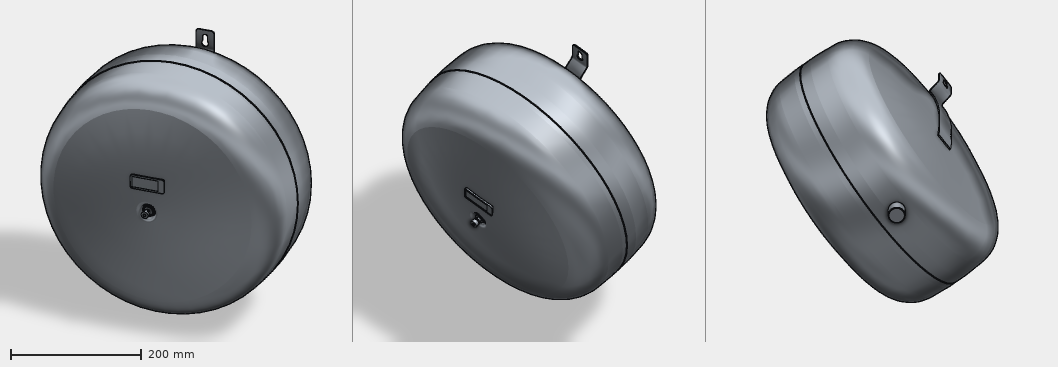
import cadquery as cq
import math

TANK_RADIUS = 204.5
BAND_HALF_WIDTH = 15.5
TAPER_END_RADIUS = 202.5
TAPER_END_DEPTH = 46.5
CORNER_RADIUS = 55.0
DOME_EDGE_RADIUS = 164.0
DOME_EDGE_DEPTH = 96.5
DOME_APEX_DEPTH = 120.0
DOME_RISE = DOME_APEX_DEPTH - DOME_EDGE_DEPTH
DOME_SPHERE_RADIUS = (DOME_EDGE_RADIUS**2 + DOME_RISE**2) / (2 * DOME_RISE)
DOME_CENTRE_DEPTH = DOME_APEX_DEPTH - DOME_SPHERE_RADIUS

SEAM_RADIUS = 407.0 / 2
SEAM_FRONT_Y = -6.5
SEAM_THICKNESS = 1.5
SEAM_REAR_Y = SEAM_FRONT_Y + SEAM_THICKNESS

NIPPLE_RADIUS = 26.3 / 2
NIPPLE_Y = 27.5
NIPPLE_BOTTOM_Z = TANK_RADIUS - 430.5
NIPPLE_LENGTH = 30.0
NIPPLE_CHAMFER = 1.5

BRACKET_WIDTH = 30.0
BRACKET_THICKNESS = 2.0
BRACKET_WALL_Y = 121.0
TAB_TOP_Z = 201.0
TAB_BOTTOM_Z = 166.5
TAB_CORNER_RADIUS = 5.0
LEG_BOTTOM_Z = 151.0
STRAP_BOTTOM_Z = -57.0
BEND_RADIUS = 7.7
KEYHOLE_Z = 178.2
KEYHOLE_RADIUS = 5.5
KEYHOLE_SLOT_WIDTH = 8.0
KEYHOLE_SLOT_RISE = 11.0

PLATE_WIDTH = 56.0
PLATE_HEIGHT = 23.5
PLATE_Z = 48.2
PLATE_FRONT_Y = -119.5
PLATE_DEPTH = 4.5
PLATE_CORNER_RADIUS = 3.5
PANEL_WIDTH = 43.0
PANEL_HEIGHT = 17.5
PANEL_X = -4.0
PANEL_DEPTH = 0.5

PIT_RIM_RADIUS = 17.5
PIT_RADIUS = 11.0
PIT_FLOOR_Y = -107.5
NUT_RADIUS = 10.0
NUT_FRONT_Y = -113.5
NUT_TOOTH_COUNT = 16
NUT_NOTCH_WIDTH = 1.5
NUT_NOTCH_DEPTH = 1.7
STEM_RADIUS = 15.0 / 2
STEM_SHOULDER_Y = -117.0
NECK_RADIUS = 8.0 / 2
CAP_RADIUS = 11.0 / 2
CAP_REAR_Y = -121.5
CAP_FRONT_Y = -130.5
CAP_TIP_RADIUS = 2.0
CAP_TIP_LENGTH = 1.5
CAP_SOCKET_DEPTH = 1.7


def rod(radius, start_y, end_y):
    """Cylinder on the Y axis between two Y positions."""
    length = end_y - start_y
    return cq.Workplane("XZ", origin=(0, start_y, 0)).circle(radius).extrude(-length)


def dome_surface_y(height):
    """Y of the rear dome at a distance from the tank axis."""
    return DOME_CENTRE_DEPTH + math.sqrt(DOME_SPHERE_RADIUS**2 - height**2)


def make_half_shell(seam_y, side):
    """Tank half from the seam to the dome apex; side is +1 for rear, -1 for front."""
    half_edge = DOME_EDGE_RADIUS / 2
    return (
        cq.Workplane("XY")
        .moveTo(0, seam_y)
        .lineTo(TANK_RADIUS, seam_y)
        .lineTo(TANK_RADIUS, side * BAND_HALF_WIDTH)
        .lineTo(TAPER_END_RADIUS, side * TAPER_END_DEPTH)
        .radiusArc((DOME_EDGE_RADIUS, side * DOME_EDGE_DEPTH), -side * CORNER_RADIUS)
        .threePointArc((half_edge, side * dome_surface_y(half_edge)), (0, side * DOME_APEX_DEPTH))
        .close()
        .revolve(360, (0, 0), (0, 1))
    )


def make_valve_pit():
    """Cutter for the pit: a round hole with a flared, rounded mouth."""
    rim_y = -dome_surface_y(PIT_RIM_RADIUS)
    flare = PIT_RIM_RADIUS - PIT_RADIUS
    clear_y = -DOME_APEX_DEPTH - 4.5
    return (
        cq.Workplane("XY")
        .moveTo(0, PIT_FLOOR_Y)
        .lineTo(PIT_RADIUS, PIT_FLOOR_Y)
        .lineTo(PIT_RADIUS, rim_y + flare)
        .radiusArc((PIT_RIM_RADIUS, rim_y), -flare)
        .lineTo(PIT_RIM_RADIUS, clear_y)
        .lineTo(0, clear_y)
        .close()
        .revolve(360, (0, 0), (0, 1))
    )


def make_front_shell():
    return make_half_shell(SEAM_FRONT_Y, -1).cut(make_valve_pit())


def make_rear_shell(nipple):
    return make_half_shell(SEAM_REAR_Y, 1).cut(nipple)


def make_seam_disc():
    return rod(SEAM_RADIUS, SEAM_FRONT_Y, SEAM_REAR_Y)


def make_nipple():
    return (
        cq.Workplane("XY", origin=(0, NIPPLE_Y, NIPPLE_BOTTOM_Z))
        .circle(NIPPLE_RADIUS)
        .extrude(NIPPLE_LENGTH)
        .faces("<Z")
        .chamfer(NIPPLE_CHAMFER)
    )


def make_bracket_strip():
    """Tab, sloping leg and dome-hugging strap as one bent strip."""
    strap_radius = DOME_SPHERE_RADIUS + BRACKET_THICKNESS

    def strap_y(z):
        return DOME_CENTRE_DEPTH + math.sqrt(strap_radius**2 - z**2)

    tab_front_y = BRACKET_WALL_Y - BRACKET_THICKNESS
    leg_run = BRACKET_WALL_Y - strap_y(LEG_BOTTOM_Z)
    leg_angle = math.atan2(leg_run, TAB_BOTTOM_Z - LEG_BOTTOM_Z)
    tab_front_bottom_z = TAB_BOTTOM_Z + BRACKET_THICKNESS * math.tan(leg_angle / 2)
    leg_top_z = LEG_BOTTOM_Z + BRACKET_THICKNESS
    strip = (
        cq.Workplane("YZ")
        .moveTo(BRACKET_WALL_Y, TAB_TOP_Z)
        .lineTo(BRACKET_WALL_Y, TAB_BOTTOM_Z)
        .lineTo(strap_y(LEG_BOTTOM_Z), LEG_BOTTOM_Z)
        .threePointArc((strap_y(0), 0), (strap_y(STRAP_BOTTOM_Z), STRAP_BOTTOM_Z))
        .lineTo(dome_surface_y(STRAP_BOTTOM_Z), STRAP_BOTTOM_Z)
        .threePointArc((DOME_APEX_DEPTH, 0), (dome_surface_y(leg_top_z), leg_top_z))
        .lineTo(tab_front_y, tab_front_bottom_z)
        .lineTo(tab_front_y, TAB_TOP_Z)
        .close()
        .extrude(BRACKET_WIDTH / 2, both=True)
    )
    inner_radius_bends = [
        (tab_front_y, tab_front_bottom_z),
        (strap_y(LEG_BOTTOM_Z), LEG_BOTTOM_Z),
    ]
    outer_radius_bends = [
        (BRACKET_WALL_Y, TAB_BOTTOM_Z),
        (dome_surface_y(leg_top_z), leg_top_z),
    ]
    for bends, radius in (
        (inner_radius_bends, BEND_RADIUS),
        (outer_radius_bends, BEND_RADIUS + BRACKET_THICKNESS),
    ):
        for y, z in bends:
            bend_edge = cq.selectors.NearestToPointSelector((0, y, z))
            strip = strip.edges("|X").edges(bend_edge).fillet(radius)
    return strip


def make_keyhole():
    slot_end_z = KEYHOLE_Z + KEYHOLE_SLOT_RISE
    reach = 2 * BRACKET_THICKNESS
    sketch_plane = cq.Workplane("XZ", origin=(0, BRACKET_WALL_Y, 0))
    circle = sketch_plane.center(0, KEYHOLE_Z).circle(KEYHOLE_RADIUS).extrude(reach)
    slot_end = sketch_plane.center(0, slot_end_z).circle(KEYHOLE_SLOT_WIDTH / 2).extrude(reach)
    slot = (
        sketch_plane.center(0, KEYHOLE_Z + KEYHOLE_SLOT_RISE / 2)
        .rect(KEYHOLE_SLOT_WIDTH, KEYHOLE_SLOT_RISE)
        .extrude(reach)
    )
    return circle.union(slot_end).union(slot)


def make_bracket():
    """Bent strip with rounded tab corners and a keyhole, ground flat at the wall plane."""
    strip = make_bracket_strip().edges("|Y and >Z").fillet(TAB_CORNER_RADIUS)
    beyond_wall = cq.Workplane("XY", origin=(0, BRACKET_WALL_Y, 0)).box(
        2 * BRACKET_WIDTH, TANK_RADIUS, 2 * TANK_RADIUS, centered=(True, False, True)
    )
    return strip.cut(beyond_wall).cut(make_keyhole())


def make_name_plate(front_shell):
    """Flat-faced plate with a sunken panel; its back follows the dome."""
    front_plane = cq.Workplane("XZ", origin=(0, PLATE_FRONT_Y, PLATE_Z))
    plate = (
        front_plane.rect(PLATE_WIDTH, PLATE_HEIGHT)
        .extrude(-PLATE_DEPTH)
        .edges("|Y")
        .fillet(PLATE_CORNER_RADIUS)
    )
    panel = front_plane.center(PANEL_X, 0).rect(PANEL_WIDTH, PANEL_HEIGHT).extrude(-PANEL_DEPTH)
    return plate.cut(panel).cut(front_shell)


def make_valve_nut():
    """Notched ring around the stem on the pit floor."""
    nut = rod(NUT_RADIUS, NUT_FRONT_Y, PIT_FLOOR_Y)
    notches = (
        cq.Workplane("XZ", origin=(0, PIT_FLOOR_Y, 0))
        .polarArray(NUT_RADIUS, 0, 360, NUT_TOOTH_COUNT)
        .rect(2 * NUT_NOTCH_DEPTH, NUT_NOTCH_WIDTH)
        .extrude(PIT_FLOOR_Y - NUT_FRONT_Y)
    )
    return nut.cut(notches).cut(rod(STEM_RADIUS, NUT_FRONT_Y, PIT_FLOOR_Y))


def make_valve_stem():
    body = rod(STEM_RADIUS, STEM_SHOULDER_Y, PIT_FLOOR_Y)
    neck = rod(NECK_RADIUS, CAP_REAR_Y - CAP_SOCKET_DEPTH, STEM_SHOULDER_Y)
    return body.union(neck)


def make_valve_cap():
    """Cap with a small tip, recessed to sit on the stem neck."""
    cap = rod(CAP_RADIUS, CAP_FRONT_Y, CAP_REAR_Y)
    tip = rod(CAP_TIP_RADIUS, CAP_FRONT_Y - CAP_TIP_LENGTH, CAP_FRONT_Y)
    return cap.union(tip).cut(rod(NECK_RADIUS, CAP_REAR_Y - CAP_SOCKET_DEPTH, CAP_REAR_Y))


nipple = make_nipple()
front_shell = make_front_shell()
rear_shell = make_rear_shell(nipple)
seam_disc = make_seam_disc()
bracket = make_bracket()
name_plate = make_name_plate(front_shell)
valve_nut = make_valve_nut()
valve_stem = make_valve_stem()
valve_cap = make_valve_cap()

result = cq.Compound.makeCompound([
    front_shell.val(),
    rear_shell.val(),
    seam_disc.val(),
    nipple.val(),
    bracket.val(),
    name_plate.val(),
    valve_nut.val(),
    valve_stem.val(),
    valve_cap.val(),
])